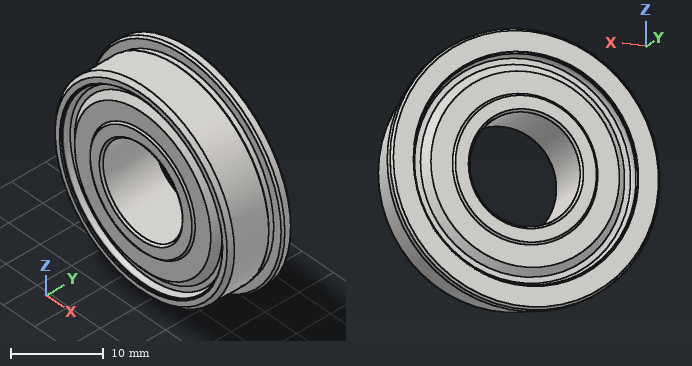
import cadquery as cq

width = 7.93

flange_radius = 15.55
flange_thickness = 1.43
flange_chamfer = 0.28
ring_radius = 14.28
ring_chamfer = 0.55
relief_radius = 14.1
relief_width = 0.9

bore_radius = 6.35
bore_chamfer = 0.28
inner_ring_radius = 8.37
inner_ring_chamfer = 0.25

lip_radius = 12.97
lip_depth = 0.25
seat_radius = 12.8
seat_depth = 0.37
floor_radius = 12.45
floor_depth = 1.05
wall_bow = 0.1
shield_base_radius = 11.75
shield_face_radius = 10.85
shield_face_depth = 0.25


def revolve_about_y(profile):
    """Revolve a closed (radius, Y) outline about the Y axis."""
    return profile.close().revolve(360, (0, 0, 0), (0, 1, 0))


def make_body():
    """Solid blank with the flange, the relief groove and the ring chamfers."""
    flange_front = width - flange_thickness
    relief_front = flange_front - relief_width
    relief_depth = ring_radius - relief_radius
    profile = (
        cq.Workplane("XY")
        .moveTo(bore_radius, bore_chamfer)
        .lineTo(bore_radius + bore_chamfer, 0)
        .lineTo(ring_radius - ring_chamfer, 0)
        .lineTo(ring_radius, ring_chamfer)
        .lineTo(ring_radius, relief_front)
        .lineTo(relief_radius, relief_front + relief_depth)
        .lineTo(relief_radius, flange_front)
        .lineTo(flange_radius - flange_chamfer, flange_front)
        .lineTo(flange_radius, flange_front + flange_chamfer)
        .lineTo(flange_radius, width - flange_chamfer)
        .lineTo(flange_radius - flange_chamfer, width)
        .lineTo(bore_radius + bore_chamfer, width)
        .lineTo(bore_radius, width - bore_chamfer)
    )
    return revolve_about_y(profile)


def make_recess():
    """Cutter that leaves the raised shield and the stepped lip of the front face."""
    wall_middle_radius = (floor_radius + seat_radius) / 2 + wall_bow
    wall_middle_depth = (floor_depth + seat_depth) / 2
    profile = (
        cq.Workplane("XY")
        .moveTo(inner_ring_radius - inner_ring_chamfer, 0)
        .lineTo(inner_ring_radius, shield_face_depth)
        .lineTo(shield_face_radius, shield_face_depth)
        .lineTo(shield_base_radius, floor_depth)
        .lineTo(floor_radius, floor_depth)
        .threePointArc((wall_middle_radius, wall_middle_depth), (seat_radius, seat_depth))
        .lineTo(seat_radius, lip_depth)
        .lineTo(lip_radius, lip_depth)
        .lineTo(lip_radius, 0)
    )
    return revolve_about_y(profile)


front_recess = make_recess()
back_recess = front_recess.mirror("XZ").translate((0, width, 0))

result = make_body().cut(front_recess).cut(back_recess)